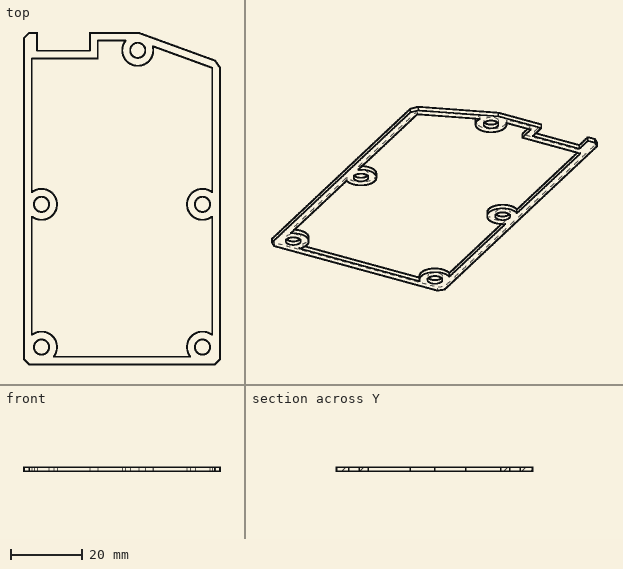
import cadquery as cq
import math

width = 55.0
length = 93.0
thickness = 1.2
wall = 2.2
corner_chamfer = 1.5

notch_left = 3.7
notch_right = 18.5
notch_depth = 5.0

slope_start = 32.2
slope_angle = 20.0

hole_diameter = 4.2
boss_diameter = 8.7
hole_inset = 4.9
middle_hole_y = 44.9
top_hole_x = 31.9

slope = math.tan(math.radians(slope_angle))
notch_floor = length - notch_depth


def slope_y(x, offset=0.0):
    """Height at x of the sloping edge moved inward by offset."""
    drop = (x - slope_start) * slope
    return length - drop - offset / math.cos(math.radians(slope_angle))


def make_outer_plate():
    plate = (
        cq.Workplane("XY")
        .polyline([
            (0, 0),
            (width, 0),
            (width, slope_y(width)),
            (slope_start, length),
            (0, length),
        ])
        .close()
        .extrude(thickness)
    )
    side_corners = plate.edges("|Z").edges("<X or >X")
    plate = side_corners.chamfer(corner_chamfer)
    notch = (
        cq.Workplane("XY")
        .moveTo(notch_left, notch_floor)
        .lineTo(notch_right, notch_floor)
        .lineTo(notch_right, length)
        .lineTo(notch_left, length)
        .close()
        .extrude(thickness)
    )
    return plate.cut(notch)


def make_opening():
    """Inner opening, one wall thickness inside the outline."""
    inner_right = width - wall
    inner_top = length - wall
    step_x = notch_right + wall
    step_y = notch_floor - wall
    inner_slope_start = slope_start - wall * math.tan(math.radians(slope_angle / 2))
    return (
        cq.Workplane("XY")
        .polyline([
            (wall, wall),
            (inner_right, wall),
            (inner_right, slope_y(inner_right, wall)),
            (inner_slope_start, inner_top),
            (step_x, inner_top),
            (step_x, step_y),
            (wall, step_y),
        ])
        .close()
        .extrude(thickness)
    )


hole_centers = [(top_hole_x, length - hole_inset)]
for hole_y in (hole_inset, middle_hole_y):
    hole_centers.append((hole_inset, hole_y))
    hole_centers.append((width - hole_inset, hole_y))


def make_discs(diameter):
    """Discs of plate thickness at every hole center."""
    return (
        cq.Workplane("XY")
        .pushPoints(hole_centers)
        .circle(diameter / 2)
        .extrude(thickness)
    )


outer_plate = make_outer_plate()
bosses = make_discs(boss_diameter).intersect(outer_plate)
frame = outer_plate.cut(make_opening()).union(bosses)
result = frame.cut(make_discs(hole_diameter))